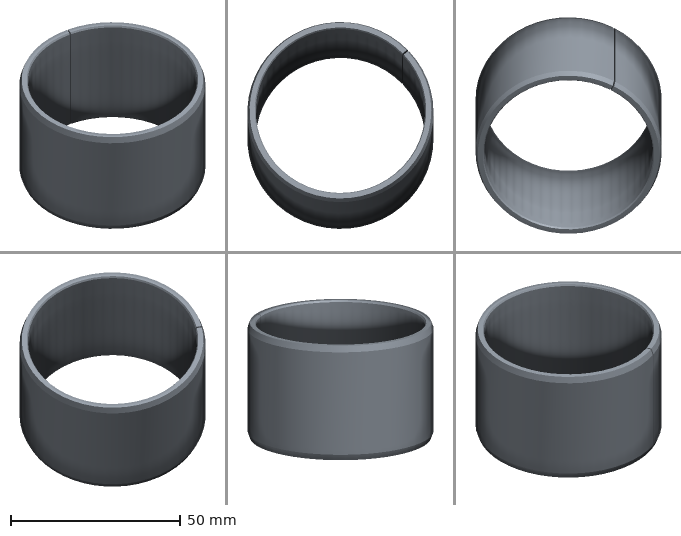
import cadquery as cq
import math

outer_radius = 27.5
wall = 2.5
height = 35.0

outer_chamfer_length = 1.8
outer_chamfer_angle = 20.0
inner_chamfer_length = 0.5
inner_chamfer_depth = 0.35

joint_angle = 1.0

inner_radius = outer_radius - wall
half_height = height / 2
outer_chamfer_depth = outer_chamfer_length * math.tan(math.radians(outer_chamfer_angle))


def split_ring():
    """Revolve the chamfered wall section from -X around Z, stopping short to leave the joint open."""
    upper_half = [
        (-outer_radius, half_height - outer_chamfer_length),
        (outer_chamfer_depth - outer_radius, half_height),
        (-inner_radius - inner_chamfer_depth, half_height),
        (-inner_radius, half_height - inner_chamfer_length),
    ]
    lower_half = [(x, -z) for x, z in reversed(upper_half)]
    section = cq.Workplane("XZ").polyline(upper_half + lower_half).close()
    return section.revolve(360 - joint_angle, (0, 0, 0), (0, 1, 0))


result = split_ring()